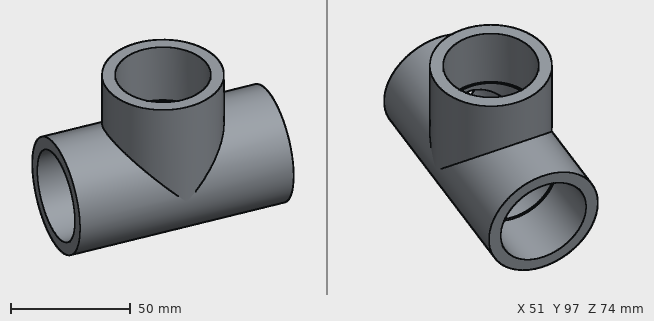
import cadquery as cq

run_length = 97.0
outer_diameter = 51.0
socket_diameter = 40.0
bore_diameter = 38.0
socket_depth = 27.0

half_run = run_length / 2
branch_height = half_run


def run_cylinder(diameter, length):
    """Cylinder along Y, centred on the origin."""
    return cq.Workplane("XZ").circle(diameter / 2).extrude(length / 2, both=True)


def branch_cylinder(diameter, start, end):
    """Cylinder along Z between two heights."""
    return cq.Workplane("XY").workplane(offset=start).circle(diameter / 2).extrude(end - start)


body = run_cylinder(outer_diameter, run_length).union(branch_cylinder(outer_diameter, 0, branch_height))

body = body.cut(run_cylinder(bore_diameter, run_length))
body = body.cut(branch_cylinder(bore_diameter, 0, branch_height))

shoulder_distance = half_run - socket_depth
run_sockets = run_cylinder(socket_diameter, run_length).cut(
    run_cylinder(outer_diameter, 2 * shoulder_distance)
)
body = body.cut(run_sockets)
body = body.cut(branch_cylinder(socket_diameter, shoulder_distance, branch_height))

result = body